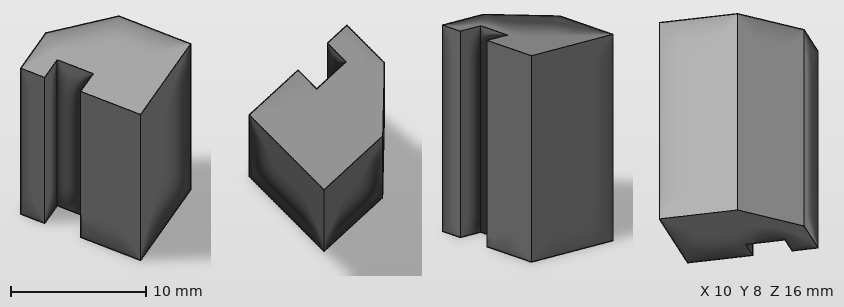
import cadquery as cq

width = 10.0
depth = 8.0
height = 16.0

bevel = 4.0

slot_offset = 2.0
slot_width = width / 2 - slot_offset
slot_depth = 2.0

block = cq.Workplane("XY").box(width, depth, height, centered=False)
beveled_block = block.faces("<X").edges("|Z and >Y").chamfer(bevel)

slot = (
    cq.Workplane("XY")
    .box(slot_width, slot_depth, height, centered=False)
    .translate((slot_offset, 0, 0))
)

result = beveled_block.cut(slot)